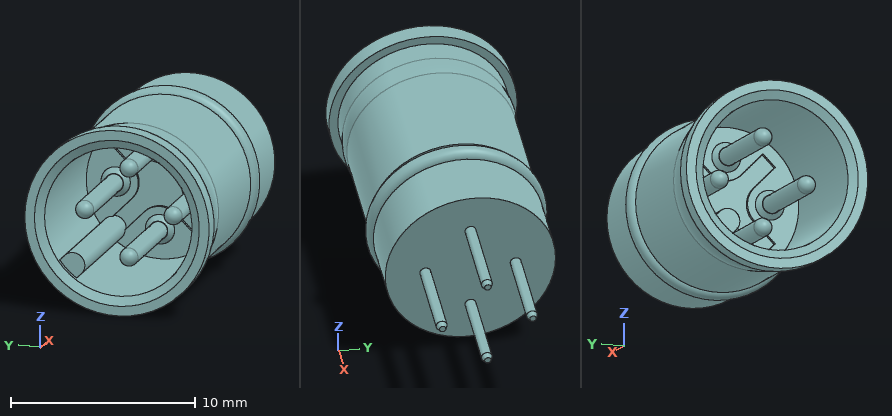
import cadquery as cq
import math


overall_length = 20.1
flange_diameter = 10.4
flange_thickness = 1
barrel_diameter = 9.4
barrel_end = 14.97

band_start = 2.31
band_end = 3.64
band_rise = 0.1

groove_diameter = 8.0
groove_width = 1.39
ring_center = 10.77
ring_section_diameter = 1

bore_diameter = 8.3
bore_depth = 8.65
mouth_diameter = 9.29
mouth_chamfer_length = 0.28

contact_count = 4
contact_circle_radius = 2.5
contact_diameter = 1
contact_tip = 1.95
collar_base_diameter = 1.65
collar_top_diameter = 1.05
collar_height = 0.3
tail_embedding = 0.6
tail_diameter = 0.6
tail_tip_diameter = 0.36
tail_tip_length = 0.3

key_diameter = 1.35
key_center_radius = 3.72
key_start = 0.55
key_angle = -45

cross_arm_length = 3.48
cross_arm_width = 0.98
cross_depth = 0.2
corner_margin = 0.2
cross_fillet_radius = contact_circle_radius * math.sin(math.radians(45)) - cross_arm_width / 2


def disc(diameter, start, end, y=0, z=0):
    """Solid cylinder along X between two stations."""
    return cq.Workplane("YZ", origin=(start, y, z)).circle(diameter / 2).extrude(end - start)


def make_shell():
    """Flanged barrel with the crowned band and the O-ring groove, turned about X."""
    barrel_radius = barrel_diameter / 2
    groove_radius = groove_diameter / 2
    groove_start = ring_center - groove_width / 2
    groove_end = ring_center + groove_width / 2
    return (
        cq.Workplane("XY")
        .lineTo(0, flange_diameter / 2)
        .lineTo(flange_thickness, flange_diameter / 2)
        .lineTo(flange_thickness, barrel_radius)
        .lineTo(band_start, barrel_radius)
        .threePointArc(((band_start + band_end) / 2, barrel_radius + band_rise), (band_end, barrel_radius))
        .lineTo(groove_start, barrel_radius)
        .lineTo(groove_start, groove_radius)
        .lineTo(groove_end, groove_radius)
        .lineTo(groove_end, barrel_radius)
        .lineTo(barrel_end, barrel_radius)
        .lineTo(barrel_end, 0)
        .close()
        .revolve(360, (0, 0, 0), (1, 0, 0))
    )


def make_bore():
    """Blind bore with a chamfered mouth, as a cutting tool."""
    return (
        cq.Workplane("XY")
        .lineTo(0, mouth_diameter / 2)
        .lineTo(mouth_chamfer_length, bore_diameter / 2)
        .lineTo(bore_depth, bore_diameter / 2)
        .lineTo(bore_depth, 0)
        .close()
        .revolve(360, (0, 0, 0), (1, 0, 0))
    )


def make_cross():
    """Diagonal cross with inner corners rounded concentric with the contacts, as a cutting tool."""
    arms = (
        cq.Workplane("YZ", origin=(bore_depth, 0, 0))
        .rect(2 * cross_arm_length, cross_arm_width)
        .extrude(cross_depth)
    )
    arms = arms.union(arms.rotate((0, 0, 0), (1, 0, 0), 90))
    corner_reach = cross_arm_width / 2 + corner_margin
    inner_corners = cq.selectors.BoxSelector(
        (bore_depth - corner_margin, -corner_reach, -corner_reach),
        (bore_depth + cross_depth + corner_margin, corner_reach, corner_reach),
    )
    arms = arms.edges("|X").edges(inner_corners).fillet(cross_fillet_radius)
    return arms.rotate((0, 0, 0), (1, 0, 0), 45)


def make_key():
    """Round-nosed key that runs along the bore and blends into its wall."""
    key_end = bore_depth + cross_depth
    rounded = disc(key_diameter, key_start, key_end, y=key_center_radius)
    wall_overlap = bore_diameter / 2 - key_center_radius
    root = (
        cq.Workplane("YZ", origin=(key_start, key_center_radius + wall_overlap / 2, 0))
        .rect(wall_overlap, key_diameter)
        .extrude(key_end - key_start)
    )
    envelope = disc((bore_diameter + barrel_diameter) / 2, key_start, key_end)
    return rounded.union(root).intersect(envelope).rotate((0, 0, 0), (1, 0, 0), key_angle)


def make_contact(angle):
    """Contact with domed tip, conical collar on the bore floor and a solder tail."""
    contact_radius = contact_diameter / 2
    tail_radius = tail_diameter / 2
    dome_rise = contact_radius * math.sin(math.radians(45))
    dome_mid = (contact_tip + contact_radius - dome_rise, dome_rise)
    contact = (
        cq.Workplane("XY")
        .moveTo(contact_tip, 0)
        .threePointArc(dome_mid, (contact_tip + contact_radius, contact_radius))
        .lineTo(bore_depth - collar_height, contact_radius)
        .lineTo(bore_depth - collar_height, collar_top_diameter / 2)
        .lineTo(bore_depth, collar_base_diameter / 2)
        .lineTo(barrel_end - tail_embedding, collar_base_diameter / 2)
        .lineTo(barrel_end - tail_embedding, tail_radius)
        .lineTo(overall_length - tail_tip_length, tail_radius)
        .lineTo(overall_length, tail_tip_diameter / 2)
        .lineTo(overall_length, 0)
        .close()
        .revolve(360, (0, 0, 0), (1, 0, 0))
    )
    return contact.translate((0, contact_circle_radius, 0)).rotate((0, 0, 0), (1, 0, 0), angle)


def make_housing():
    """Shell, key and contacts as one solid."""
    housing = make_shell().cut(make_bore()).cut(make_cross()).union(make_key())
    for index in range(contact_count):
        housing = housing.union(make_contact(index * 360 / contact_count))
    return housing


def make_o_ring():
    """O-ring resting on the floor of its groove."""
    section_center = (groove_diameter + ring_section_diameter) / 2
    return (
        cq.Workplane("XY")
        .center(ring_center, section_center)
        .circle(ring_section_diameter / 2)
        .revolve(360, (0, -section_center, 0), (1, -section_center, 0))
    )


housing = make_housing()
o_ring = make_o_ring()
result = cq.Compound.makeCompound([housing.val(), o_ring.val()])